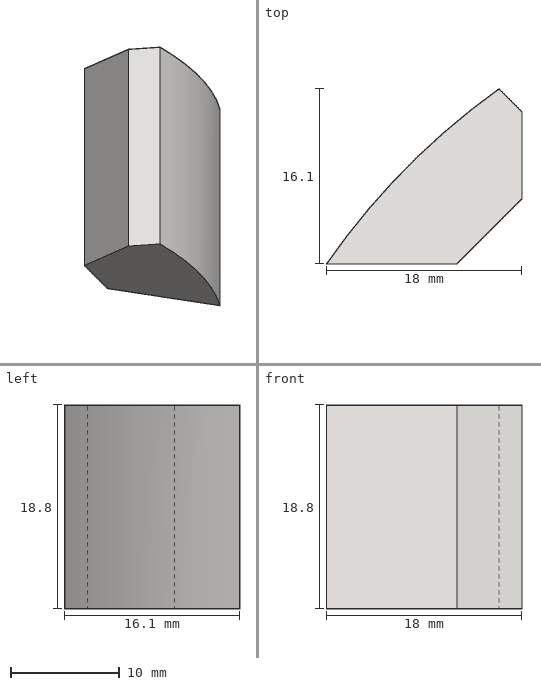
import cadquery as cq
import math

length = 18.0
width = 16.12
height = 18.75

front_cut = 6.0
back_cut = 2.12

bulge = 0.98

tip_x = length - back_cut
chord = math.hypot(tip_x, width)
arc_middle = (
    tip_x / 2 - bulge * width / chord,
    width / 2 + bulge * tip_x / chord,
)

result = (
    cq.Workplane("XY")
    .moveTo(0, 0)
    .lineTo(length - front_cut, 0)
    .lineTo(length, front_cut)
    .lineTo(length, width - back_cut)
    .lineTo(tip_x, width)
    .threePointArc(arc_middle, (0, 0))
    .close()
    .extrude(height)
)